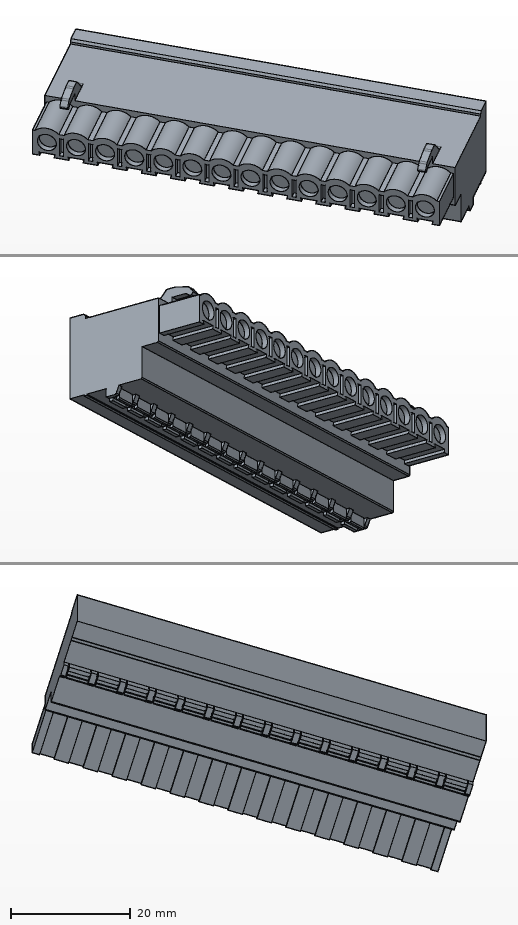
import cadquery as cq
import math


length = 71.75
positions = 14
row_length = 71.2
pitch = row_length / positions
position_xs = [(i - (positions - 1) / 2) * pitch for i in range(positions)]
boundary_xs = [-row_length / 2 + i * pitch for i in range(positions + 1)]

back_y = 26.6
front_y = 8.25
lower_front_y = 11.6
top_z = 13.85
step_z = 5.8
edge_chamfer = 0.2
ridge_front_y = 23.4
ridge_height = 0.85
ridge_chamfer = 0.35
ridge_chamfer_drop = 0.4
bead_y = 23.4
bead_width = 0.6
bead_height = 0.2

plug_axis_z = 10.5
crown_radius = 2.95
shoulder_z = 12.55
plug_floor_z = 8.2
plug_foot_z = 7.5
plug_foot_half_width = 1.3
plug_foot_flare = 0.15
hole_radius = 1.65
hole_depth = 1.1
slot_width = 0.7
slot_bottom_z = plug_floor_z
slot_top_z = 11.7
slot_depth = 1.1

latch_x = 31.3
latch_width = 1.35
latch_top_z = 17.0
latch_underside_z = 15.3
latch_barb_z = 14.8
latch_back_y = 13.2
latch_tip_y = 3.95
latch_root_depth = 0.7

foot_width = 3.7
foot_back_y = 19.1
foot_front_y = 17.0
foot_bottom_z = -2.0
foot_chamfer = 0.2
groove_back_y = 18.4
groove_front_y = 17.65
rib_width = 1.1
rib_top_front_y = 16.4
rib_bottom_z = -1.5


def extrude_along_x(profile, width, center_x=0):
    """Extrude a closed (Y, Z) profile symmetrically about center_x."""
    return profile.extrude(width / 2, both=True).translate((center_x, 0, 0))


def make_housing():
    ridge_z = top_z + ridge_height
    profile = (
        cq.Workplane("YZ")
        .moveTo(back_y, 0)
        .lineTo(back_y, ridge_z)
        .lineTo(ridge_front_y + ridge_chamfer, ridge_z)
        .lineTo(ridge_front_y, ridge_z - ridge_chamfer_drop)
        .lineTo(ridge_front_y, top_z)
        .lineTo(front_y, top_z)
        .lineTo(front_y, step_z + edge_chamfer)
        .lineTo(front_y + edge_chamfer, step_z)
        .lineTo(lower_front_y, step_z)
        .lineTo(lower_front_y, edge_chamfer)
        .lineTo(lower_front_y + edge_chamfer, 0)
        .close()
    )
    bead = (
        cq.Workplane("YZ")
        .center(bead_y, 0)
        .rect(bead_width, 2 * bead_height)
    )
    return extrude_along_x(profile, length).union(extrude_along_x(bead, length))


def make_plug_row():
    """Round-crowned row whose flared underside feet straddle the position boundaries."""
    crown_half_width = math.sqrt(crown_radius**2 - (shoulder_z - plug_axis_z) ** 2)
    foot_root_half_width = plug_foot_half_width - plug_foot_flare
    outline = cq.Workplane("XZ").moveTo(-row_length / 2, plug_foot_z).lineTo(-row_length / 2, shoulder_z)
    for x in position_xs:
        outline = (
            outline.lineTo(x - crown_half_width, shoulder_z)
            .threePointArc((x, plug_axis_z + crown_radius), (x + crown_half_width, shoulder_z))
        )
    outline = outline.lineTo(row_length / 2, shoulder_z).lineTo(row_length / 2, plug_foot_z)
    for x in reversed(position_xs):
        right_x = x + pitch / 2
        left_x = x - pitch / 2
        outline = (
            outline.lineTo(right_x - plug_foot_half_width, plug_foot_z)
            .lineTo(right_x - foot_root_half_width, plug_floor_z)
            .lineTo(left_x + foot_root_half_width, plug_floor_z)
            .lineTo(left_x + plug_foot_half_width, plug_foot_z)
        )
    row = outline.close().extrude(-front_y)

    holes = (
        cq.Workplane("XZ")
        .pushPoints([(x, plug_axis_z) for x in position_xs])
        .circle(hole_radius)
        .extrude(-hole_depth)
    )
    slots = (
        cq.Workplane("XZ")
        .pushPoints([(x, (slot_bottom_z + slot_top_z) / 2) for x in boundary_xs[1:-1]])
        .rect(slot_width, slot_top_z - slot_bottom_z)
        .extrude(-slot_depth)
    )
    return row.cut(holes).cut(slots)


def make_latch(x):
    """Hook that rises from the housing top and reaches forward over the plugs."""
    profile = (
        cq.Workplane("YZ")
        .moveTo(front_y, top_z - latch_root_depth)
        .lineTo(latch_back_y, top_z - latch_root_depth)
        .lineTo(latch_back_y, top_z)
        .threePointArc((12.5, 14.0), (11.9, 14.35))
        .lineTo(9.55, 16.85)
        .tangentArcPoint((9.25, latch_top_z), relative=False)
        .lineTo(7.8, latch_top_z)
        .tangentArcPoint((7.4, 16.9), relative=False)
        .lineTo(5.0, 16.4)
        .tangentArcPoint((4.7, 16.2), relative=False)
        .lineTo(4.0, 15.4)
        .tangentArcPoint((latch_tip_y, 15.2), relative=False)
        .lineTo(4.3, latch_barb_z)
        .lineTo(4.9, latch_barb_z)
        .threePointArc((5.2, 15.15), (5.6, latch_underside_z))
        .lineTo(front_y, latch_underside_z)
        .close()
    )
    return extrude_along_x(profile, latch_width, x)


def make_coding_foot(x):
    profile = (
        cq.Workplane("YZ")
        .moveTo(foot_back_y, 0)
        .lineTo(foot_back_y, foot_bottom_z)
        .lineTo(groove_back_y, foot_bottom_z)
        .lineTo(groove_back_y, rib_bottom_z)
        .lineTo(groove_front_y, rib_bottom_z)
        .lineTo(groove_front_y, foot_bottom_z)
        .lineTo(foot_front_y + foot_chamfer, foot_bottom_z)
        .lineTo(foot_front_y, foot_bottom_z + foot_chamfer)
        .lineTo(foot_front_y, 0)
        .close()
    )
    return extrude_along_x(profile, foot_width, x)


def make_rib(x):
    """Sloping rib between two coding feet, trimmed at the housing ends."""
    profile = cq.Workplane("YZ").polyline([
        (foot_back_y, 0),
        (foot_back_y, rib_bottom_z),
        (foot_front_y + foot_chamfer, rib_bottom_z),
        (foot_front_y, rib_bottom_z + foot_chamfer),
        (rib_top_front_y, 0),
    ]).close()
    x_min = max(x - rib_width / 2, -length / 2)
    x_max = min(x + rib_width / 2, length / 2)
    return extrude_along_x(profile, x_max - x_min, (x_min + x_max) / 2)


result = make_housing().union(make_plug_row())
for latch_center in (-latch_x, latch_x):
    result = result.union(make_latch(latch_center))
for x in position_xs:
    result = result.union(make_coding_foot(x))
for x in boundary_xs:
    result = result.union(make_rib(x))